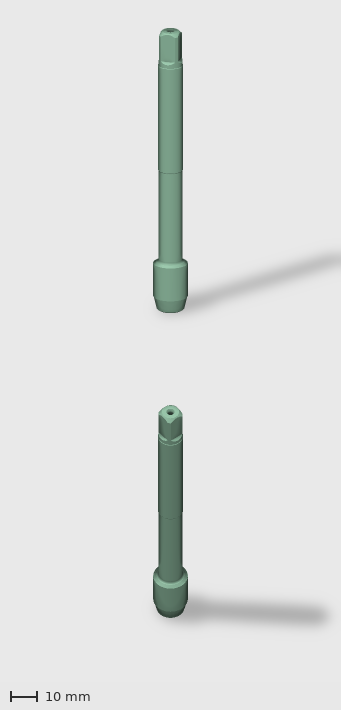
import cadquery as cq
import math

total_length = 110.0
sleeve_radius = 12.9 / 2
sleeve_wall = 0.1
sleeve_top = 18.3
core_radius = sleeve_radius - sleeve_wall
lead_height = 5.3
lead_bottom_radius = 5.2
tip_bevel_height = 0.4
tip_radius = 4.6

neck_radius = 9.0 / 2
grip_radius = 9.4 / 2
drive_radius = 9.0 / 2
flare_cone_top = 18.9
flare_top_radius = 5.2
flare_top = 19.9
grip_bottom = 55.2
grip_step_height = 0.5
grip_top = 96.6
grip_chamfer = grip_radius - drive_radius

square_size = 7.2
square_bottom = 98.9
end_radius = 3.2
center_hole_radius = 2.0 / 2
center_hole_depth = 3.3
drill_half_angle = math.radians(59)
countersink_radius = 1.5
countersink_depth = 1.0


def make_sleeve():
    """Thin thread sleeve around the core, its rim standing above the core shoulder."""
    return (
        cq.Workplane("XY")
        .workplane(offset=lead_height)
        .circle(sleeve_radius)
        .circle(core_radius)
        .extrude(sleeve_top - lead_height)
    )


def make_round_shank():
    """Turned blank: tapered lead, core, flare, neck, grip and drive end."""
    flare_height = flare_top - flare_cone_top
    flare_width = flare_top_radius - neck_radius
    flare_middle = (neck_radius + 0.3 * flare_width, flare_cone_top + 0.3 * flare_height)
    step_middle = (neck_radius + 0.3 * (grip_radius - neck_radius), grip_bottom - 0.3 * grip_step_height)
    profile = (
        cq.Workplane("XZ")
        .lineTo(tip_radius, 0)
        .lineTo(lead_bottom_radius, tip_bevel_height)
        .lineTo(core_radius, lead_height)
        .lineTo(core_radius, flare_cone_top - (core_radius - flare_top_radius))
        .lineTo(flare_top_radius, flare_cone_top)
        .threePointArc(flare_middle, (neck_radius, flare_top))
        .lineTo(neck_radius, grip_bottom - grip_step_height)
        .threePointArc(step_middle, (grip_radius, grip_bottom))
        .lineTo(grip_radius, grip_top - grip_chamfer)
        .lineTo(drive_radius, grip_top)
        .lineTo(drive_radius, total_length - (drive_radius - end_radius))
        .lineTo(end_radius, total_length)
        .lineTo(0, total_length)
        .close()
    )
    return profile.revolve(360, (0, 0), (0, 1))


def make_flat_cutter():
    """Material beside one drive flat, with a 45 degree run-out at its foot."""
    half_square = square_size / 2
    outer = 2 * drive_radius
    return (
        cq.Workplane("XZ")
        .moveTo(half_square, square_bottom)
        .lineTo(half_square, total_length)
        .lineTo(outer, total_length)
        .lineTo(outer, square_bottom - (outer - half_square))
        .close()
        .extrude(drive_radius, both=True)
    )


def make_center_hole():
    """Drilled blind hole with a countersunk mouth in the drive end."""
    profile = (
        cq.Workplane("XZ")
        .moveTo(0, total_length)
        .lineTo(countersink_radius, total_length)
        .lineTo(center_hole_radius, total_length - countersink_depth)
        .lineTo(center_hole_radius, total_length - center_hole_depth)
        .lineTo(0, total_length - center_hole_depth - center_hole_radius / math.tan(drill_half_angle))
        .close()
    )
    return profile.revolve(360, (0, 0), (0, 1))


def make_shank():
    """Shank with four drive flats and a centre hole."""
    shank = make_round_shank()
    flat_region = cq.Workplane("XY").workplane(offset=grip_top).circle(grip_radius)
    flat_region = flat_region.extrude(total_length - grip_top)
    for angle in (0, 90, 180, 270):
        cutter = make_flat_cutter().rotate((0, 0, 0), (0, 0, 1), angle)
        shank = shank.cut(cutter.intersect(flat_region))
    return shank.cut(make_center_hole())


sleeve = make_sleeve()
shank = make_shank()
result = cq.Compound.makeCompound([sleeve.val(), shank.val()])